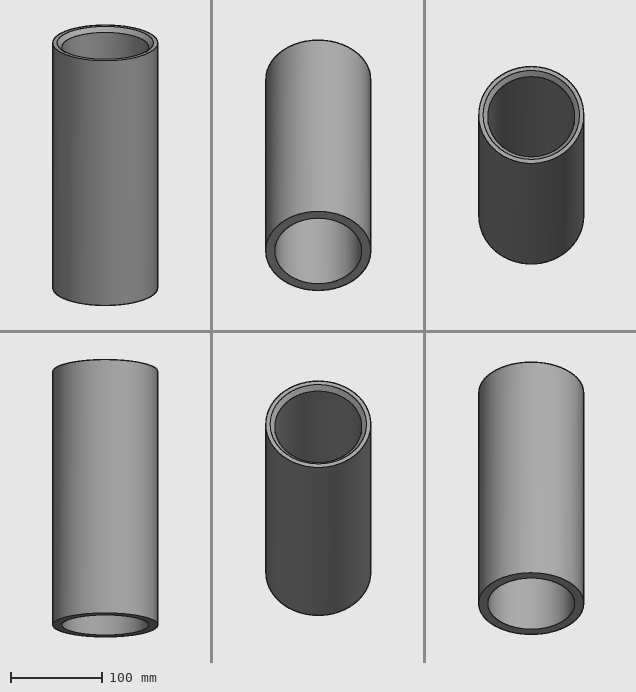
import cadquery as cq

length = 285.0
outer_diameter = 115.0
bore_diameter = 95.2
mouth_diameter = 105.5
mouth_depth = 5.0

outer_radius = outer_diameter / 2
bore_radius = bore_diameter / 2
mouth_radius = mouth_diameter / 2

wall_section = (
    cq.Workplane("XZ")
    .moveTo(bore_radius, 0)
    .lineTo(outer_radius, 0)
    .lineTo(outer_radius, length)
    .lineTo(mouth_radius, length)
    .lineTo(bore_radius, length - mouth_depth)
    .close()
)

result = wall_section.revolve(360, (0, 0, 0), (0, 1, 0))